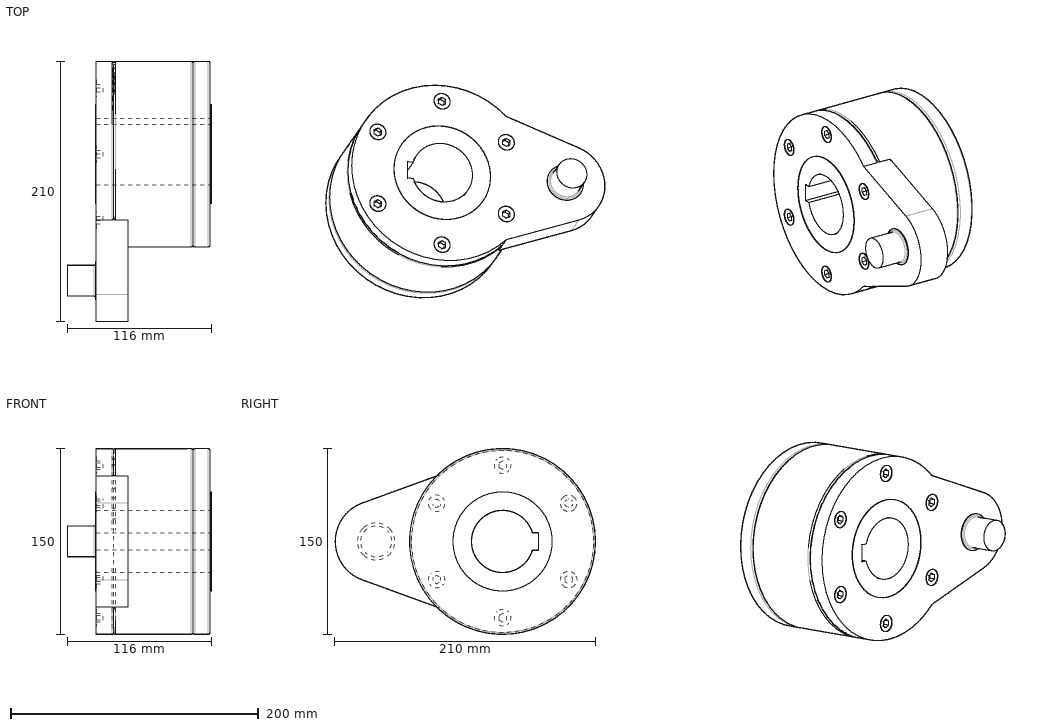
import math

import cadquery as cq


BODY_RADIUS = 75.0
BODY_LENGTH = 92.0
BODY_END_FILLET = 1.5
JOINT_FILLET = 1.5
JOINT_POSITIONS = (14.3, 78.2)

HUB_RADIUS = 40.0
HUB_PROTRUSION = 0.5
HUB_LENGTH = 93.5
BORE_RADIUS = 25.0
KEYWAY_WIDTH = 14.0
KEYWAY_REACH = 28.8

ARM_THICKNESS = 26.0
ARM_LENGTH = 102.0
ARM_TIP_RADIUS = 33.0
ARM_FLANK_ANGLE = math.radians(20.0)

PIN_RADIUS = 12.5
PIN_END_X = -23.0
PIN_ROOT_FILLET = 1.0
PIN_COLLAR_RADIUS = 15.0
PIN_COLLAR_HEIGHT = 0.5

SCREW_COUNT = 6
SCREW_CIRCLE_RADIUS = 61.5
SCREW_HEAD_DIAMETER = 13.3
SCREW_HEAD_RECESS = 0.5
SOCKET_ACROSS_FLATS = 6.0
SOCKET_SIDES = 6
SOCKET_DEPTH = 5.0


def plane_at(x):
    """Plane normal to the main axis: local x is +Y, local y is +Z, extrusion goes to +X."""
    return cq.Workplane("YZ", origin=(x, 0, 0))


def make_body():
    """Cylinder turned from its half section, with a cusp-bottomed groove at each joint."""
    section = cq.Workplane("XY").lineTo(0, BODY_RADIUS)
    arc_offset = JOINT_FILLET * math.sqrt(0.5)
    cusp_radius = BODY_RADIUS - JOINT_FILLET
    for joint_x in JOINT_POSITIONS:
        start_x = joint_x - JOINT_FILLET
        end_x = joint_x + JOINT_FILLET
        section = (
            section.lineTo(start_x, BODY_RADIUS)
            .threePointArc((start_x + arc_offset, cusp_radius + arc_offset), (joint_x, cusp_radius))
            .threePointArc((end_x - arc_offset, cusp_radius + arc_offset), (end_x, BODY_RADIUS))
        )
    section = section.lineTo(BODY_LENGTH, BODY_RADIUS).lineTo(BODY_LENGTH, 0).close()
    body = section.revolve(360, (0, 0, 0), (1, 0, 0))
    return body.faces(">X").edges().fillet(BODY_END_FILLET)


def make_arm():
    """Tapered plate whose flanks are tangent to the rounded tip, reaching back into the body."""
    tangent_y = -ARM_LENGTH - ARM_TIP_RADIUS * math.sin(ARM_FLANK_ANGLE)
    tangent_z = ARM_TIP_RADIUS * math.cos(ARM_FLANK_ANGLE)
    root_y = -BODY_RADIUS / 2
    root_z = tangent_z + (root_y - tangent_y) * math.tan(ARM_FLANK_ANGLE)
    return (
        plane_at(0)
        .moveTo(root_y, root_z)
        .lineTo(tangent_y, tangent_z)
        .threePointArc((-ARM_LENGTH - ARM_TIP_RADIUS, 0), (tangent_y, -tangent_z))
        .lineTo(root_y, -root_z)
        .close()
        .extrude(ARM_THICKNESS)
    )


def make_hub():
    """Plain cylinder running through the body and standing proud at both ends."""
    return plane_at(-HUB_PROTRUSION).circle(HUB_RADIUS).extrude(HUB_LENGTH)


def make_keyed_bore():
    """Through bore with a keyway on its +Y side."""
    bore = plane_at(-HUB_PROTRUSION).circle(BORE_RADIUS).extrude(HUB_LENGTH)
    keyway = (
        plane_at(-HUB_PROTRUSION)
        .center(KEYWAY_REACH / 2, 0)
        .rect(KEYWAY_REACH, KEYWAY_WIDTH)
        .extrude(HUB_LENGTH)
    )
    return bore.union(keyway)


def make_pin():
    """Pin on a low collar, with a concave fillet at its root."""
    collar_x = -PIN_COLLAR_HEIGHT
    root_x = collar_x - PIN_ROOT_FILLET
    root_radius = PIN_RADIUS + PIN_ROOT_FILLET
    arc_offset = PIN_ROOT_FILLET * math.sqrt(0.5)
    section = (
        cq.Workplane("XY")
        .lineTo(0, PIN_COLLAR_RADIUS)
        .lineTo(collar_x, PIN_COLLAR_RADIUS)
        .lineTo(collar_x, root_radius)
        .threePointArc((root_x + arc_offset, root_radius - arc_offset), (root_x, PIN_RADIUS))
        .lineTo(PIN_END_X, PIN_RADIUS)
        .lineTo(PIN_END_X, 0)
        .close()
    )
    return section.revolve(360, (0, 0, 0), (1, 0, 0)).translate((0, -ARM_LENGTH, 0))


def make_screw_recesses():
    """Shallow round recesses with hexagon sockets, corners of each hexagon up and down."""
    corner_diameter = SOCKET_ACROSS_FLATS / math.cos(math.pi / SOCKET_SIDES)
    step = 360 / SCREW_COUNT
    recesses = cq.Workplane("YZ")
    for index in range(SCREW_COUNT):
        angle = math.radians(90 + index * step)
        y = SCREW_CIRCLE_RADIUS * math.cos(angle)
        z = SCREW_CIRCLE_RADIUS * math.sin(angle)
        head = plane_at(0).center(y, z).circle(SCREW_HEAD_DIAMETER / 2).extrude(SCREW_HEAD_RECESS)
        socket = (
            plane_at(0)
            .polygon(SOCKET_SIDES, corner_diameter)
            .extrude(SCREW_HEAD_RECESS + SOCKET_DEPTH)
            .rotate((0, 0, 0), (1, 0, 0), 90)
            .translate((0, y, z))
        )
        recesses = recesses.add(head.union(socket))
    return recesses.combine()


result = (
    make_body()
    .union(make_arm())
    .union(make_hub())
    .union(make_pin())
    .cut(make_keyed_bore())
    .cut(make_screw_recesses())
)